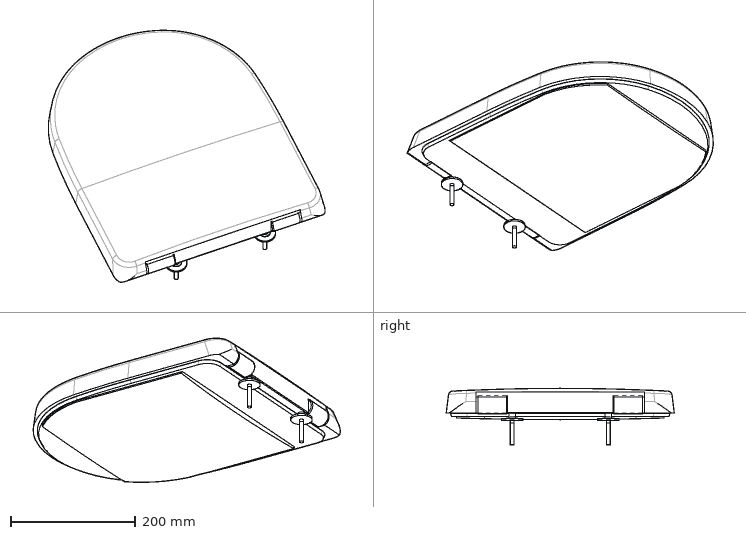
import cadquery as cq
import math


OVERALL_LENGTH = 445.5
OVERALL_HEIGHT = 91.5

LID_HALF_WIDTH = 184.0
LID_TOP = 40.0
LID_DRAFT = 7.0
TIP_RADIUS = 195.5
SHOULDER_RADIUS = 170.5
TIP_ANGLE = 21.1
SHOULDER_ANGLE = 84.5
DOME_DROP = 5.0
REAR_CORNER_RADIUS = 30.5
TOP_EDGE_RADIUS = 7.5
REAR_LEAN = 20.0

BARREL_X = 429.5
BARREL_Z = 13.5
BARREL_RADIUS = 14.5
BARREL_INNER_Y = 84.5
BARREL_LENGTH = 47.5
BARREL_END_CHAMFER = 2.0

NOTCH_X = 437.5
NOTCH_HALF_WIDTH = 135.5

SEAT_INSET = 6.5
SEAT_THICKNESS = 6.0
SEAT_REAR_X = 421.0
SEAT_REAR_BEVEL_LENGTH = 5.5
SEAT_REAR_BEVEL_HEIGHT = 2.2
SEAT_CORNER_RADIUS = 26.7

LAND_FRONT_X = 60.0
LAND_REAR_X = 357.5
LAND_HALF_WIDTH = 167.5
LAND_DEPTH = 5.0
LAND_SIDE_DEPTH = 2.2
LAND_INSET = 11.0

WASHER_RADIUS = 17.5
WASHER_TOP = -9.0
WASHER_THICKNESS = 3.0
HUB_RADIUS = 9.0
HUB_HEIGHT = 1.5
FOOT_X = OVERALL_LENGTH - WASHER_RADIUS
FOOT_Y = 77.5
POST_RADIUS = 5.5
STUD_RADIUS = 3.35
STUD_TOP = -16.0
STUD_BOTTOM = LID_TOP - OVERALL_HEIGHT

CLEARANCE = 22.3
SPAN = 2 * (LID_HALF_WIDTH + CLEARANCE)
BEYOND_REAR = OVERALL_LENGTH + CLEARANCE
BLANK_TOP = LID_TOP + 4.5
TOOL_FLOOR = -4.5
RIM_DEPTH = 9.0
RIM_MARGIN = 0.22
SIDES = (-1, 1)


def shifted(point, distance, degrees):
    """Point moved by a distance along the outline's normal, given in degrees round from the tip."""
    angle = math.radians(degrees)
    return point[0] - distance * math.cos(angle), point[1] + distance * math.sin(angle)


TIP_CENTRE = (TIP_RADIUS, 0)
SHOULDER_CENTRE = shifted(TIP_CENTRE, TIP_RADIUS - SHOULDER_RADIUS, TIP_ANGLE)
SHOULDER_END = shifted(SHOULDER_CENTRE, SHOULDER_RADIUS, SHOULDER_ANGLE)
FLANK_RADIUS = (LID_HALF_WIDTH - SHOULDER_END[1]) / (1 - math.sin(math.radians(SHOULDER_ANGLE)))
FLANK_CENTRE = shifted(SHOULDER_END, -FLANK_RADIUS, SHOULDER_ANGLE)
STRAIGHT_START = FLANK_CENTRE[0]


def mirrored(point):
    """Point reflected across the X axis."""
    return point[0], -point[1]


def d_outline(rear_x, inset=0):
    """Closed D outline at Z = 0, curved at the nose and cut square at rear_x."""
    half_width = LID_HALF_WIDTH - inset
    tip_radius = TIP_RADIUS - inset
    shoulder_radius = SHOULDER_RADIUS - inset
    flank_radius = FLANK_RADIUS - inset
    tip = shifted(TIP_CENTRE, tip_radius, 0)
    tip_end = shifted(TIP_CENTRE, tip_radius, TIP_ANGLE)
    shoulder_middle = shifted(SHOULDER_CENTRE, shoulder_radius, (TIP_ANGLE + SHOULDER_ANGLE) / 2)
    shoulder_end = shifted(SHOULDER_CENTRE, shoulder_radius, SHOULDER_ANGLE)
    flank_middle = shifted(FLANK_CENTRE, flank_radius, (SHOULDER_ANGLE + 90) / 2)
    flank_end = (STRAIGHT_START, half_width)
    return (
        cq.Workplane("XY")
        .moveTo(rear_x, half_width)
        .lineTo(*flank_end)
        .threePointArc(flank_middle, shoulder_end)
        .threePointArc(shoulder_middle, tip_end)
        .threePointArc(tip, mirrored(tip_end))
        .threePointArc(mirrored(shoulder_middle), mirrored(shoulder_end))
        .threePointArc(mirrored(flank_middle), mirrored(flank_end))
        .lineTo(rear_x, -half_width)
        .close()
    )


def dome():
    """Block under the lid's crowned top: level along the rear, falling to the nose and the sides."""
    side_radius = LID_HALF_WIDTH ** 2 / (2 * DOME_DROP)
    nose_radius = STRAIGHT_START ** 2 / (2 * DOME_DROP)
    front_x = -CLEARANCE
    run = STRAIGHT_START - front_x
    front_drop = nose_radius - math.sqrt(nose_radius ** 2 - run ** 2)
    mid_drop = nose_radius - math.sqrt(nose_radius ** 2 - (run / 2) ** 2)
    half_angle = math.degrees(math.asin(SPAN / 2 / side_radius))
    axis_z = LID_TOP - side_radius
    return (
        cq.Workplane("XZ")
        .moveTo(front_x, TOOL_FLOOR)
        .lineTo(front_x, LID_TOP - front_drop)
        .threePointArc((STRAIGHT_START - run / 2, LID_TOP - mid_drop), (STRAIGHT_START, LID_TOP))
        .lineTo(BEYOND_REAR, LID_TOP)
        .lineTo(BEYOND_REAR, TOOL_FLOOR)
        .close()
        .revolve(2 * half_angle, (0, axis_z, 0), (1, axis_z, 0))
        .rotate((0, 0, axis_z), (1, 0, axis_z), -half_angle)
    )


def barrel_circle_point(degrees):
    """Point (X, Z) on the barrel circle, measured up from straight back."""
    angle = math.radians(degrees)
    return BARREL_X + BARREL_RADIUS * math.cos(angle), BARREL_Z + BARREL_RADIUS * math.sin(angle)


def rear_space():
    """Block behind the leaning rear wall, which is tangent to the barrel circle."""
    height = BLANK_TOP + 4.5
    tangent_x, tangent_z = barrel_circle_point(REAR_LEAN)
    slope = math.tan(math.radians(REAR_LEAN))
    top_x = tangent_x - (height - tangent_z) * slope
    foot_x = tangent_x + (tangent_z - TOOL_FLOOR) * slope
    back_x = BEYOND_REAR + 4.5
    return (
        cq.Workplane("XZ")
        .polyline([(foot_x, TOOL_FLOOR), (top_x, height), (back_x, height), (back_x, TOOL_FLOOR)])
        .close()
        .extrude(SPAN / 2, both=True)
    )


def rear_undercut():
    """Block outside the barrel circle that rounds the foot of the rear wall."""
    bottom_angle = -math.degrees(math.asin(BARREL_Z / BARREL_RADIUS))
    middle_angle = (bottom_angle + REAR_LEAN) / 2
    bottom_x, bottom_z = barrel_circle_point(bottom_angle)
    return (
        cq.Workplane("XZ")
        .moveTo(bottom_x, bottom_z)
        .threePointArc(barrel_circle_point(middle_angle), barrel_circle_point(REAR_LEAN))
        .lineTo(BEYOND_REAR, barrel_circle_point(REAR_LEAN)[1])
        .lineTo(BEYOND_REAR, TOOL_FLOOR)
        .lineTo(bottom_x, TOOL_FLOOR)
        .close()
        .extrude(SPAN / 2, both=True)
    )


def barrel_cylinder(inner_y, outer_y):
    """Cylinder about the hinge axis between two Y values."""
    return (
        cq.Workplane("XZ", origin=(BARREL_X, inner_y, BARREL_Z))
        .circle(BARREL_RADIUS)
        .extrude(inner_y - outer_y)
    )


def make_lid():
    """Solid lid: leaning side wall, crowned top, rounded edges and a notch for the hinges."""
    wall = d_outline(BEYOND_REAR).extrude(BLANK_TOP, taper=LID_DRAFT).cut(rear_space())
    rounded = wall.faces(">X").edges("not |Y").fillet(REAR_CORNER_RADIUS)
    lid = rounded.intersect(dome())
    rim = cq.selectors.BoxSelector(
        (-CLEARANCE, -SPAN / 2, LID_TOP - RIM_DEPTH),
        (BEYOND_REAR, SPAN / 2, LID_TOP - RIM_MARGIN),
    )
    lid = lid.edges(rim).fillet(TOP_EDGE_RADIUS).cut(rear_undercut())
    notch = cq.Workplane("XY").box(
        BEYOND_REAR - NOTCH_X, 2 * NOTCH_HALF_WIDTH, 2 * SPAN, centered=(False, True, True)
    ).translate((NOTCH_X, 0, 0))
    lid = lid.cut(notch)
    for side in SIDES:
        lid = lid.cut(barrel_cylinder(side * BARREL_INNER_Y, side * NOTCH_HALF_WIDTH))
    return lid


def land():
    """Raised land under the seat, its lower face bowed across Y and its rear end bevelled."""
    top = -SEAT_THICKNESS
    bottom = top - LAND_DEPTH
    side_bottom = top - LAND_SIDE_DEPTH
    bowed = (
        cq.Workplane("YZ")
        .moveTo(-LAND_HALF_WIDTH, side_bottom)
        .threePointArc((0, bottom), (LAND_HALF_WIDTH, side_bottom))
        .lineTo(LAND_HALF_WIDTH, 0)
        .lineTo(-LAND_HALF_WIDTH, 0)
        .close()
        .extrude(LAND_REAR_X)
    )
    ends = (
        cq.Workplane("XZ")
        .polyline([
            (LAND_FRONT_X, 0),
            (LAND_FRONT_X, bottom),
            (LAND_REAR_X - LAND_DEPTH, bottom),
            (LAND_REAR_X, top),
            (LAND_REAR_X, 0),
        ])
        .close()
        .extrude(SPAN / 2, both=True)
    )
    plan = d_outline(BEYOND_REAR, LAND_INSET).extrude(-SPAN)
    return bowed.intersect(ends).intersect(plan)


def make_seat():
    """Seat plate under the lid, with a bevelled rear edge and the land below."""
    plate = d_outline(SEAT_REAR_X, SEAT_INSET).extrude(-SEAT_THICKNESS)
    plate = plate.faces(">X").edges("|Z").fillet(SEAT_CORNER_RADIUS)
    plate = plate.faces(">X").edges("<Z").chamfer(SEAT_REAR_BEVEL_HEIGHT, SEAT_REAR_BEVEL_LENGTH)
    return plate.union(land())


def make_barrel(side):
    """Hinge barrel seated in the lid's notch, its inner end chamfered."""
    inner_y = side * BARREL_INNER_Y
    outer_y = side * (BARREL_INNER_Y + BARREL_LENGTH)
    inner_end = "<Y" if side > 0 else ">Y"
    return barrel_cylinder(inner_y, outer_y).faces(inner_end).chamfer(BARREL_END_CHAMFER)


def foot_cylinder(side, radius, top, bottom):
    """Vertical cylinder on the axis of one hinge foot."""
    return (
        cq.Workplane("XY", origin=(FOOT_X, side * FOOT_Y, bottom))
        .circle(radius)
        .extrude(top - bottom)
    )


def make_post(side):
    """Post under the lid, stepping down to pass through the washer to the stud."""
    shoulder_z = WASHER_TOP + HUB_HEIGHT
    head = foot_cylinder(side, POST_RADIUS, 0, shoulder_z)
    return head.union(foot_cylinder(side, STUD_RADIUS, shoulder_z, STUD_TOP))


def make_washer(side):
    """Washer with a low hub and a hole for the post."""
    hub_top = WASHER_TOP + HUB_HEIGHT
    bottom = WASHER_TOP - WASHER_THICKNESS
    disc = foot_cylinder(side, WASHER_RADIUS, WASHER_TOP, bottom)
    hub = foot_cylinder(side, HUB_RADIUS, hub_top, WASHER_TOP)
    hole = foot_cylinder(side, STUD_RADIUS, hub_top, bottom)
    return disc.union(hub).cut(hole)


def make_stud(side):
    """Plain stud hanging below the post."""
    return foot_cylinder(side, STUD_RADIUS, STUD_TOP, STUD_BOTTOM)


lid = make_lid()
seat = make_seat()
hinge_parts = []
for side in SIDES:
    for make_part in (make_barrel, make_post, make_washer, make_stud):
        hinge_parts.append(make_part(side).val())

result = cq.Compound.makeCompound([lid.val(), seat.val(), *hinge_parts])